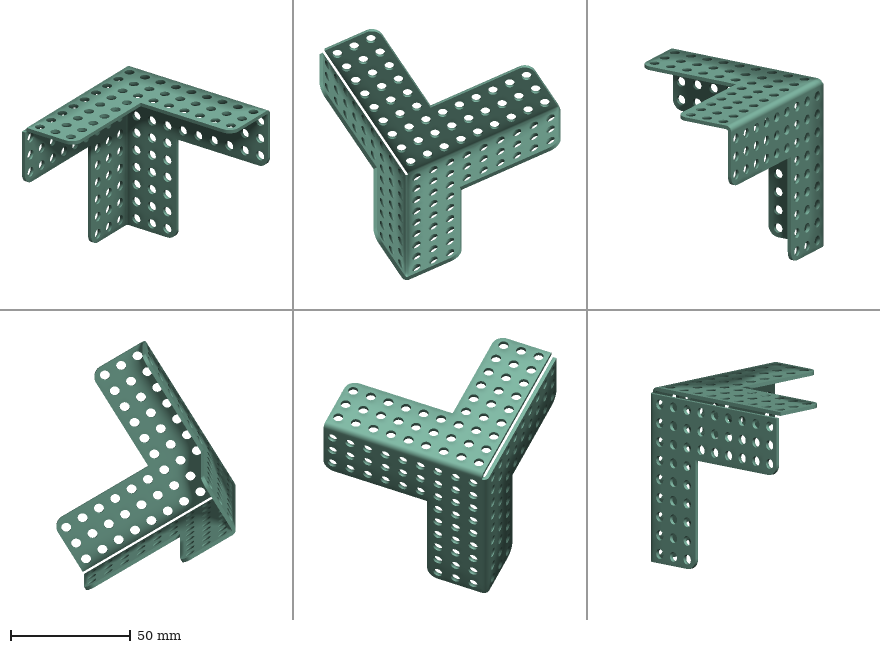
import cadquery as cq


thickness = 1.6
inner_bend_radius = 0.8
hole_diameter = 4.2
hole_pitch = 8.0
holes_along = 9
holes_across = 3
extra_leg_width = 0.8

outer_bend_radius = inner_bend_radius + thickness
hole_margin = hole_pitch / 2
plate_length = holes_along * hole_pitch
leg_width = holes_across * hole_pitch + extra_leg_width
corner_radius = hole_margin + extra_leg_width

bend_corner_offset = (plate_length - outer_bend_radius) / 2
bend_corner = cq.Vector(-bend_corner_offset, bend_corner_offset, bend_corner_offset)

right = cq.Vector(1, 0, 0)
left = cq.Vector(-1, 0, 0)
rear = cq.Vector(0, 1, 0)
forward = cq.Vector(0, -1, 0)
up = cq.Vector(0, 0, 1)
down = cq.Vector(0, 0, -1)


def hole_centres():
    """Grid positions lying on either leg, measured from the plate's corner."""
    centres = []
    for i in range(holes_along):
        for j in range(holes_along):
            if min(i, j) < holes_across:
                centres.append((hole_margin + i * hole_pitch, hole_margin + j * hole_pitch))
    return centres


def perforated_plate(plane):
    """L-shaped plate whose legs run along the plane's two axes, rounded at the inner leg tips."""
    plate = (
        cq.Workplane(plane)
        .lineTo(plate_length, 0)
        .lineTo(plate_length, leg_width - corner_radius)
        .radiusArc((plate_length - corner_radius, leg_width), -corner_radius)
        .lineTo(leg_width, leg_width)
        .lineTo(leg_width, plate_length - corner_radius)
        .radiusArc((leg_width - corner_radius, plate_length), -corner_radius)
        .lineTo(0, plate_length)
        .close()
        .extrude(thickness)
    )
    holes = cq.Workplane(plane).pushPoints(hole_centres()).circle(hole_diameter / 2).extrude(thickness)
    return plate.cut(holes)


def bend(plane):
    """Quarter-round strip, as long as a plate, curving from the plane's x axis to its y axis."""
    ring = cq.Workplane(plane).circle(outer_bend_radius).circle(inner_bend_radius).extrude(plate_length)
    quadrant = cq.Workplane(plane).rect(outer_bend_radius, outer_bend_radius, centered=False)
    return ring.intersect(quadrant.extrude(plate_length))


def plate_plane(first_leg, outward):
    """Plane on a plate's inner face, with its normal pointing out of the bracket."""
    return cq.Plane(bend_corner + outward * inner_bend_radius, first_leg, outward)


back_plate = perforated_plate(plate_plane(right, rear))
side_plate = perforated_plate(plate_plane(down, left))
top_plate = perforated_plate(plate_plane(forward, up))

side_bend = bend(cq.Plane(bend_corner, left, down))
top_bend = bend(cq.Plane(bend_corner, rear, right))

result = back_plate.union(side_bend).union(side_plate).union(top_bend).union(top_plate)